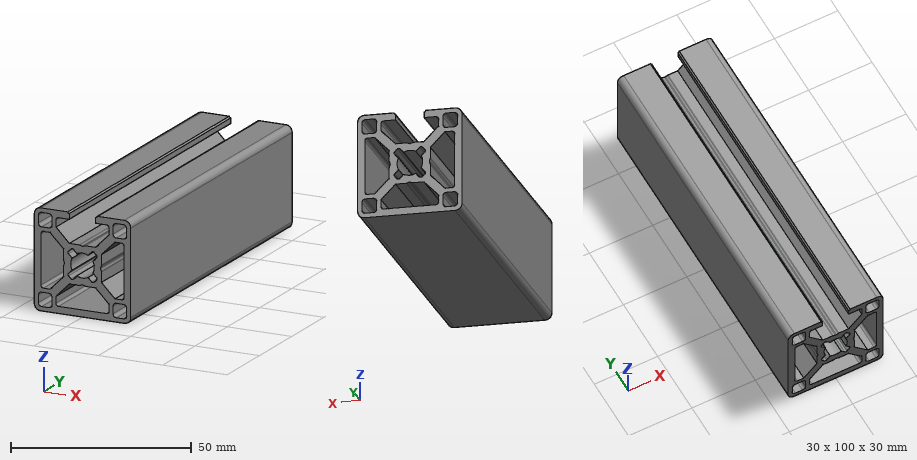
import cadquery as cq
import math

length = 100.0
side = 30.0
outer_radius = 2.0
half_side = side / 2

wall = 2.1
channel_width = 16.5
web_thickness = 2.6
channel_radius = 0.8
core_width = 11.8
half_channel = channel_width / 2
half_core = core_width / 2
channel_roof = half_side - wall
web_offset = web_thickness / math.sqrt(2)
channel_shoulder = half_channel + web_offset
floor_half_width = half_core - web_offset

groove_width = 1.8
groove_depth = 0.3
groove_radius = 0.5

mouth_width = 8.2
mouth_radius = 0.45

corner_wall = 1.3
corner_size = 4.2
corner_radius = 1.0
corner_centre = half_side - corner_wall - corner_size / 2

bore_diameter = 7.3
relief_length = 11.2
relief_width = 2.1
relief_corner_radius = 0.5


def extrude_along_y(sketch):
    """Extrude an XZ sketch from the front end (Y = 0) to the back end (Y = length)."""
    return sketch.extrude(-length)


def section():
    return cq.Workplane("XZ")


def make_bar():
    bar = extrude_along_y(section().rect(side, side))
    return bar.edges("|Y").fillet(outer_radius)


def make_channel():
    """Trapezoidal channel above the core, with a rounded V-groove in its floor and rounded roof corners."""
    right_side = [
        (groove_width / 2, half_core),
        (floor_half_width, half_core),
        (half_channel, channel_shoulder),
        (half_channel, channel_roof),
    ]
    left_side = [(-x, z) for x, z in reversed(right_side)]
    groove_bottom = (0, half_core - groove_depth)
    outline = section().polyline([groove_bottom] + right_side + left_side).close()
    channel = extrude_along_y(outline)
    groove_zone = cq.selectors.BoxSelector(
        (-groove_width, 0, 0),
        (groove_width, length, channel_shoulder),
    )
    channel = channel.edges("|Y").edges(groove_zone).fillet(groove_radius)
    return channel.faces(">Z").edges("|Y").fillet(channel_radius)


def make_mouth():
    """Opening through the top wall, with rounded outer lips."""
    half_mouth = mouth_width / 2
    outline = (
        section()
        .moveTo(-half_mouth, channel_roof)
        .lineTo(half_mouth, channel_roof)
        .lineTo(half_mouth, half_side - mouth_radius)
        .radiusArc((half_mouth + mouth_radius, half_side), -mouth_radius)
        .lineTo(-half_mouth - mouth_radius, half_side)
        .radiusArc((-half_mouth, half_side - mouth_radius), -mouth_radius)
        .close()
    )
    return extrude_along_y(outline)


def make_corner_hollows():
    centres = [(x, z) for x in (-corner_centre, corner_centre) for z in (-corner_centre, corner_centre)]
    hollows = extrude_along_y(section().pushPoints(centres).rect(corner_size, corner_size))
    return hollows.edges("|Y").fillet(corner_radius)


def make_bore():
    """Round bore crossed by two diagonal slots with rounded corners."""
    bore = extrude_along_y(section().circle(bore_diameter / 2))
    relief = extrude_along_y(section().rect(relief_length, relief_width))
    relief = relief.edges("|Y").fillet(relief_corner_radius)
    for angle in (45, -45):
        slot = relief.rotate((0, 0, 0), (0, 1, 0), angle)
        bore = bore.union(slot)
    return bore


result = make_bar().cut(make_corner_hollows()).cut(make_bore()).cut(make_mouth())
channel = make_channel()
for angle in (0, 90, 180, 270):
    result = result.cut(channel.rotate((0, 0, 0), (0, 1, 0), angle))